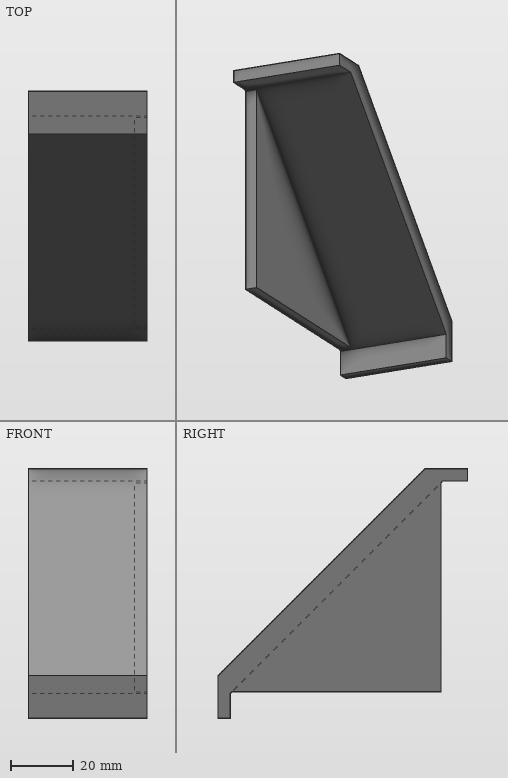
import cadquery as cq
import math

width = 38.0
side = 80.0
flange_thickness = 4.0
flange_inner_length = 8.0
rib_inset = 0.5
rib_thickness = 4.0

flange_outer_length = flange_inner_length + flange_thickness * math.sqrt(2)
rib_margin = flange_inner_length + rib_inset
inner_slope_rise = flange_inner_length - flange_thickness


def extrude_along_x(points, x_start, length):
    """Extrude a closed (Y, Z) outline towards +X from x_start."""
    return cq.Workplane("YZ", origin=(x_start, 0, 0)).polyline(points).close().extrude(length)


def make_plate():
    """45 degree plate with a vertical flange at the foot and a level flange at the top."""
    outline = [
        (0, 0),
        (flange_thickness, 0),
        (flange_thickness, flange_inner_length),
        (side - flange_inner_length, side - flange_thickness),
        (side, side - flange_thickness),
        (side, side),
        (side - flange_outer_length, side),
        (0, flange_outer_length),
    ]
    return extrude_along_x(outline, -width / 2, width)


def make_rib():
    """Triangular side rib filling the corner behind the sloped plate."""
    back_y = side - rib_margin
    bottom_z = rib_margin
    outline = [
        (bottom_z - inner_slope_rise, bottom_z),
        (back_y, bottom_z),
        (back_y, back_y + inner_slope_rise),
    ]
    return extrude_along_x(outline, width / 2 - rib_thickness, rib_thickness)


result = make_plate().union(make_rib())